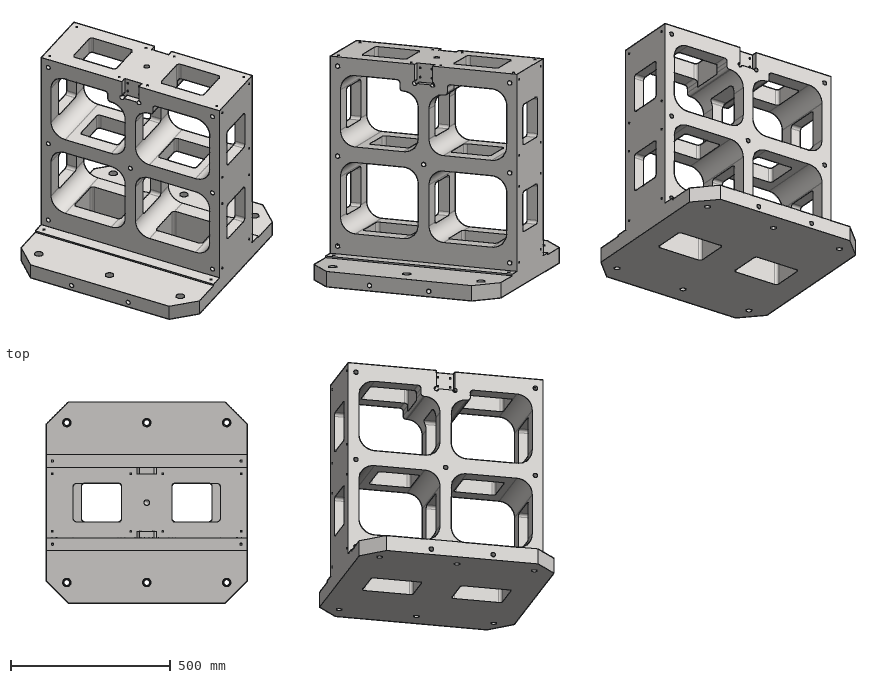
import cadquery as cq
import math

BASE_SIDE = 630.0
TOTAL_HEIGHT = 690.0

BASE_THICKNESS = 50.0
BASE_CORNER_CHAMFER = 70.0
LAND_HEIGHT = 5.0
LAND_WIDTH = 300.0
COLUMN_DEPTH = 220.0
LAND_TOP = BASE_THICKNESS + LAND_HEIGHT
HALF_COLUMN = COLUMN_DEPTH / 2

WINDOW_INNER_X = 18.5
WINDOW_OUTER_X = 280.0
WINDOW_HEIGHT = 230.0
WINDOW_OUTER_RADIUS = 50.0
WINDOW_INNER_RADIUS = 49.0
LOWER_WINDOW_Z = 125.0
RIB_THICKNESS = 50.0
UPPER_WINDOW_Z = LOWER_WINDOW_Z + WINDOW_HEIGHT + RIB_THICKNESS
UPPER_WINDOW_TOP = UPPER_WINDOW_Z + WINDOW_HEIGHT

BLOCK_HALF_WIDTH = 80.0
BLOCK_BOTTOM_Z = 600.0
BLOCK_RADIUS = 10.0
EDGE_PICK_MARGIN = 1.0

OPENING_DEPTH = 120.0
OPENING_RADIUS = 10.0
SIDE_OPENING_HEIGHT = 130.0
SIDE_OPENING_RISE = 45.0
TOP_OPENING_X = (79.0, 230.0)
RIB_OPENING_X = (70.0, 204.0)
BASE_OPENING_X = (62.5, 226.0)

NOTCH_WIDTH = 60.0
NOTCH_HEIGHT = 61.0
NOTCH_DEPTH = 20.0
NOTCH_RELIEF_DIAMETER = 14.0
NOTCH_HOLE_HALF_PITCH = 20.0
NOTCH_HOLE_DROPS = (15.0, 45.0)

ANCHOR_OFFSET = 250.0
ANCHOR_DIAMETER = 18.0
ANCHOR_COUNTERBORE_DIAMETER = 26.0
ANCHOR_COUNTERBORE_DEPTH = 25.0
FACE_HOLE_DIAMETER = 14.0
FACE_HOLE_DEPTH = 30.0
FACE_HOLE_X = 290.0
FACE_HOLE_MID_Z = 370.0
FACE_HOLE_PITCH_Z = 290.0
BASE_EDGE_HOLE_X = 100.0
BASE_EDGE_HOLE_Z = 18.0
LIFTING_HOLE_DIAMETER = 17.5
LIFTING_HOLE_DEPTH = 40.0
DRILL_POINT_ANGLE = 118.0
SMALL_HOLE_DIAMETER = 5.0
LAND_HOLE_DIAMETER = 6.8
SMALL_HOLE_DEPTH = 20.0
NOTCH_HOLE_DEPTH = 15.0
SMALL_HOLE_EDGE_INSET = 20.0
SMALL_HOLE_X = BASE_SIDE / 2 - SMALL_HOLE_EDGE_INSET
SMALL_HOLE_Y = HALF_COLUMN - SMALL_HOLE_EDGE_INSET
LAND_HOLE_Y = (HALF_COLUMN + LAND_WIDTH / 2) / 2
TOP_HOLE_INNER_X = 50.0
SIDE_HOLE_HEIGHTS = (80.0, 325.0, 425.0, 670.0)

BOTH_SIDES = (-1, 1)


def box_between(x_range, y_range, z_range):
    """Box given by its lowest and highest X, Y and Z."""
    (x0, x1), (y0, y1), (z0, z1) = x_range, y_range, z_range
    return cq.Workplane("XY").box(x1 - x0, y1 - y0, z1 - z0, centered=False).translate((x0, y0, z0))


def flat_hole(point, direction, diameter, depth):
    """Plain cylindrical hole cutter that starts at a point and runs along a direction."""
    return cq.Workplane(cq.Solid.makeCylinder(diameter / 2, depth, cq.Vector(*point), cq.Vector(*direction)))


def pointed_hole(point, direction, diameter, depth):
    """Blind hole cutter that ends in the cone left by a drill."""
    radius = diameter / 2
    point_length = radius / math.tan(math.radians(DRILL_POINT_ANGLE / 2))
    tip_start = cq.Vector(*point) + cq.Vector(*direction) * depth
    cone = cq.Solid.makeCone(radius, 0, point_length, tip_start, cq.Vector(*direction))
    return flat_hole(point, direction, diameter, depth).union(cq.Workplane(cone))


def make_body():
    """Chamfered base plate, the lands and the plain column."""
    half = BASE_SIDE / 2
    base = cq.Workplane("XY").box(BASE_SIDE, BASE_SIDE, BASE_THICKNESS, centered=(True, True, False))
    base = base.edges("|Z").chamfer(BASE_CORNER_CHAMFER)
    half_land = LAND_WIDTH / 2
    lands = box_between((-half, half), (-half_land, half_land), (0, LAND_TOP))
    column = box_between((-half, half), (-HALF_COLUMN, HALF_COLUMN), (0, TOTAL_HEIGHT))
    return base.union(lands).union(column)


def round_window_corners(window, side):
    """Round the corners next to the centre web and those next to the outer wall."""
    inner, outer = ("<X", ">X") if side > 0 else (">X", "<X")
    window = window.edges(f"|Y and {inner}").fillet(WINDOW_INNER_RADIUS)
    return window.edges(f"|Y and {outer}").fillet(WINDOW_OUTER_RADIUS)


def lower_window(side):
    """Rounded window through the column along Y, left or right of the centre web."""
    x_range = sorted((side * WINDOW_INNER_X, side * WINDOW_OUTER_X))
    z_range = (LOWER_WINDOW_Z, LOWER_WINDOW_Z + WINDOW_HEIGHT)
    return round_window_corners(box_between(x_range, (-HALF_COLUMN, HALF_COLUMN), z_range), side)


def upper_window(side):
    """Window through the column along Y whose inner top corner steps down around the notch block."""
    inner, outer, step = side * WINDOW_INNER_X, side * WINDOW_OUTER_X, side * BLOCK_HALF_WIDTH
    outline = [
        (inner, UPPER_WINDOW_Z),
        (outer, UPPER_WINDOW_Z),
        (outer, UPPER_WINDOW_TOP),
        (step, UPPER_WINDOW_TOP),
        (step, BLOCK_BOTTOM_Z),
        (inner, BLOCK_BOTTOM_Z),
    ]
    window = cq.Workplane("XZ").polyline(outline).close().extrude(HALF_COLUMN, both=True)
    window = round_window_corners(window, side)
    step_box = cq.selectors.BoxSelector(
        (step - EDGE_PICK_MARGIN, -HALF_COLUMN, BLOCK_BOTTOM_Z - EDGE_PICK_MARGIN),
        (step + EDGE_PICK_MARGIN, HALF_COLUMN, UPPER_WINDOW_TOP + EDGE_PICK_MARGIN),
    )
    return window.edges("|Y").edges(step_box).fillet(BLOCK_RADIUS)


def cut_windows(body):
    """Cut the four large windows, two on each side of the centre web."""
    for side in BOTH_SIDES:
        body = body.cut(lower_window(side)).cut(upper_window(side))
    return body


def cut_side_openings(body):
    """Openings along X through both outer walls and the centre web."""
    half, half_depth = BASE_SIDE / 2, OPENING_DEPTH / 2
    for window_z in (LOWER_WINDOW_Z, UPPER_WINDOW_Z):
        bottom = window_z + SIDE_OPENING_RISE
        z_range = (bottom, bottom + SIDE_OPENING_HEIGHT)
        opening = box_between((-half, half), (-half_depth, half_depth), z_range)
        body = body.cut(opening.edges("|X").fillet(OPENING_RADIUS))
    return body


def cut_vertical_openings(body):
    """Openings along Z through the top wall, the middle rib and the base."""
    half_depth = OPENING_DEPTH / 2
    mid_lower = LOWER_WINDOW_Z + WINDOW_HEIGHT / 2
    mid_upper = UPPER_WINDOW_Z + WINDOW_HEIGHT / 2
    levels = (
        (0, mid_lower, BASE_OPENING_X),
        (mid_lower, mid_upper, RIB_OPENING_X),
        (mid_upper, TOTAL_HEIGHT, TOP_OPENING_X),
    )
    for bottom, top, (inner_x, outer_x) in levels:
        for side in BOTH_SIDES:
            x_range = sorted((side * inner_x, side * outer_x))
            opening = box_between(x_range, (-half_depth, half_depth), (bottom, top))
            body = body.cut(opening.edges("|Z").fillet(OPENING_RADIUS))
    return body


def cut_notches(body):
    """Locating notches with relieved bottom corners and four small holes each."""
    half_width = NOTCH_WIDTH / 2
    floor_z = TOTAL_HEIGHT - NOTCH_HEIGHT
    for face in BOTH_SIDES:
        back_y = face * (HALF_COLUMN - NOTCH_DEPTH)
        y_range = sorted((back_y, face * HALF_COLUMN))
        body = body.cut(box_between((-half_width, half_width), y_range, (floor_z, TOTAL_HEIGHT)))
        for side in BOTH_SIDES:
            corner = (side * half_width, back_y, floor_z)
            body = body.cut(flat_hole(corner, (0, face, 0), NOTCH_RELIEF_DIAMETER, NOTCH_DEPTH))
            for drop in NOTCH_HOLE_DROPS:
                start = (side * NOTCH_HOLE_HALF_PITCH, back_y, TOTAL_HEIGHT - drop)
                body = body.cut(flat_hole(start, (0, -face, 0), SMALL_HOLE_DIAMETER, NOTCH_HOLE_DEPTH))
    return body


def drill_base(body):
    """Counterbored anchor holes and the blind holes in the front and rear edges of the base."""
    down = (0, 0, -1)
    for y_side in BOTH_SIDES:
        for place in (-1, 0, 1):
            start = (place * ANCHOR_OFFSET, y_side * ANCHOR_OFFSET, BASE_THICKNESS)
            body = body.cut(flat_hole(start, down, ANCHOR_DIAMETER, BASE_THICKNESS))
            body = body.cut(flat_hole(start, down, ANCHOR_COUNTERBORE_DIAMETER, ANCHOR_COUNTERBORE_DEPTH))
        for side in BOTH_SIDES:
            start = (side * BASE_EDGE_HOLE_X, y_side * BASE_SIDE / 2, BASE_EDGE_HOLE_Z)
            body = body.cut(pointed_hole(start, (0, -y_side, 0), FACE_HOLE_DIAMETER, FACE_HOLE_DEPTH))
    return body


def drill_column_faces(body):
    """Seven blind holes in each large column face: two outer columns of three and one in the middle."""
    places = [(0, FACE_HOLE_MID_Z)]
    for side in BOTH_SIDES:
        for row in (-1, 0, 1):
            places.append((side * FACE_HOLE_X, FACE_HOLE_MID_Z + row * FACE_HOLE_PITCH_Z))
    for face in BOTH_SIDES:
        for x, z in places:
            start = (x, face * HALF_COLUMN, z)
            body = body.cut(flat_hole(start, (0, -face, 0), FACE_HOLE_DIAMETER, FACE_HOLE_DEPTH))
    return body


def drill_top(body):
    """Lifting hole in the middle of the column top."""
    start = (0, 0, TOTAL_HEIGHT)
    return body.cut(pointed_hole(start, (0, 0, -1), LIFTING_HOLE_DIAMETER, LIFTING_HOLE_DEPTH))


def drill_small_holes(body):
    """Small blind holes in the column top, the lands and the column sides."""
    down = (0, 0, -1)
    for x_side in BOTH_SIDES:
        for y_side in BOTH_SIDES:
            start = (x_side * SMALL_HOLE_X, y_side * LAND_HOLE_Y, LAND_TOP)
            body = body.cut(flat_hole(start, down, LAND_HOLE_DIAMETER, SMALL_HOLE_DEPTH))
            for x in (SMALL_HOLE_X, TOP_HOLE_INNER_X):
                start = (x_side * x, y_side * SMALL_HOLE_Y, TOTAL_HEIGHT)
                body = body.cut(flat_hole(start, down, SMALL_HOLE_DIAMETER, SMALL_HOLE_DEPTH))
            for z in SIDE_HOLE_HEIGHTS:
                start = (x_side * BASE_SIDE / 2, y_side * SMALL_HOLE_Y, z)
                body = body.cut(flat_hole(start, (-x_side, 0, 0), SMALL_HOLE_DIAMETER, SMALL_HOLE_DEPTH))
    return body


result = make_body()
result = cut_windows(result)
result = cut_side_openings(result)
result = cut_vertical_openings(result)
result = cut_notches(result)
result = drill_base(result)
result = drill_column_faces(result)
result = drill_top(result)
result = drill_small_holes(result)